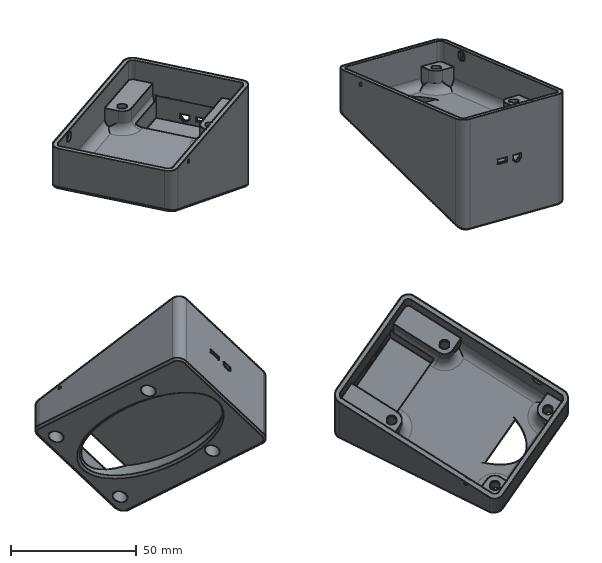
import cadquery as cq
import math

width = 53.75
length = 79.75
corner_radius = 4.0
wall = 2.0
slope_angle = 20.0
edge_chamfer = 0.95
front_height = 18.5
rise = math.tan(math.radians(slope_angle))
rear_height = front_height + length * rise
middle_height = (front_height + rear_height) / 2

floor_depth = 17.7
floor_fillet = 4.0
inner_width = width - 2 * wall
inner_length = length - 2 * wall
post_top_depth = 8.85
post_radius = 4.1
post_corner_radius = 4.0
screw_x = 19.1
front_screw_y = -33.5
rear_screw_y = 16.0
screw_diameter = 4.0
head_diameter = 6.0
screw_seat_thickness = 2.0

pit_width = 27.75
pit_front_y = 17.7
pit_depth = 24.7
wall_relief = 0.6
wall_relief_top_depth = 14.2
slot_width = 4.95
slot_height = 2.1
slot_x = 5.9
round_slot_width = 4.15
round_slot_x = -1.5
round_slot_diameter = 3.1
round_slot_drop = 0.7
connector_depth = 21.6

recess_half_width = 15.95
recess_half_length = 37.7
recess_depth = 6.4
recess_chamfer = 0.95

pin_y = -24.6
pin_depth = 2.9
pin_diameter = 1.4
pin_pocket_diameter = 4.2
pin_pocket_depth = 1.0


def make_body():
    side_profile = [
        (-length / 2, 0),
        (length / 2, 0),
        (length / 2, -rear_height),
        (-length / 2, -front_height),
    ]
    wedge = cq.Workplane("YZ").polyline(side_profile).close().extrude(width / 2, both=True)
    rounded = wedge.edges("|Z").fillet(corner_radius)
    return rounded.faces("<Z").edges().chamfer(edge_chamfer)


def make_post(side, screw_y, end_y):
    """Screw post with one rounded corner, running into the side wall and the given end wall."""
    toward_wall = math.copysign(1, end_y - screw_y)
    inner_x = screw_x - post_radius
    inner_y = screw_y - toward_wall * post_radius
    post_width = width / 2 - inner_x
    post_length = abs(end_y - inner_y)
    post = (
        cq.Workplane("XY", origin=(0, 0, -floor_depth))
        .center(side * (inner_x + post_width / 2), (inner_y + end_y) / 2)
        .rect(post_width, post_length)
        .extrude(floor_depth - post_top_depth)
    )
    rounded_corner = cq.selectors.NearestToPointSelector((side * inner_x, inner_y, -floor_depth / 2))
    return post.edges("|Z").edges(rounded_corner).fillet(post_corner_radius)


def flare_profile():
    """Concave fillet section; local X is measured from the screw axis, local Y is height."""
    mid_offset = floor_fillet * (1 - math.sqrt(0.5))
    foot_x = post_radius + floor_fillet
    return (
        cq.Workplane("XZ")
        .lineTo(foot_x, 0)
        .threePointArc((post_radius + mid_offset, mid_offset), (post_radius, floor_fillet))
        .lineTo(0, floor_fillet)
        .close()
    )


def make_post_flares():
    """Round flares at the feet of all posts and straight fillets along the two long rear posts."""
    flare = flare_profile().revolve(360, (0, 0, 0), (0, 1, 0))
    straight = flare_profile().extrude(-(length / 2 - rear_screw_y))
    left_rear = flare.union(straight)
    right_rear = left_rear.mirror("YZ")
    return (
        left_rear.translate((-screw_x, rear_screw_y, -floor_depth))
        .union(right_rear.translate((screw_x, rear_screw_y, -floor_depth)))
        .union(flare.translate((-screw_x, front_screw_y, -floor_depth)))
        .union(flare.translate((screw_x, front_screw_y, -floor_depth)))
    )


def make_cavity():
    block = cq.Workplane("XY").rect(inner_width, inner_length).extrude(-floor_depth)
    rounded_sides = block.edges("|Z").fillet(corner_radius - wall)
    cavity = block.faces("<Z").edges().fillet(floor_fillet).intersect(rounded_sides)
    for side in (-1, 1):
        cavity = cavity.cut(make_post(side, front_screw_y, -length / 2))
        cavity = cavity.cut(make_post(side, rear_screw_y, length / 2))
    return cavity.cut(make_post_flares())


def make_pit():
    pit_length = inner_length / 2 - pit_front_y
    pit = (
        cq.Workplane("XY")
        .center(0, pit_front_y + pit_length / 2)
        .rect(pit_width, pit_length)
        .extrude(-pit_depth)
    )
    relief = (
        cq.Workplane("XY", origin=(0, inner_length / 2, -wall_relief_top_depth))
        .rect(pit_width, 2 * wall_relief)
        .extrude(wall_relief_top_depth - pit_depth)
    )
    return pit.union(relief)


def opening_center(x, drop=0):
    return cq.Workplane("XZ", origin=(x, length / 2, -connector_depth - drop))


def make_connector_openings():
    slot = opening_center(slot_x).rect(slot_width, slot_height).extrude(2 * wall, both=True)
    round_slot = opening_center(round_slot_x).rect(round_slot_width, slot_height).extrude(2 * wall, both=True)
    hole = (
        opening_center(round_slot_x, round_slot_drop)
        .circle(round_slot_diameter / 2)
        .extrude(2 * wall, both=True)
    )
    return slot.union(round_slot).union(hole)


def make_recess():
    slope = math.radians(slope_angle)
    inward = (0, math.sin(slope), math.cos(slope))
    underside = cq.Plane(origin=(0, 0, -middle_height), xDir=(1, 0, 0), normal=inward)
    pocket = cq.Workplane(underside).ellipse(recess_half_width, recess_half_length).extrude(recess_depth)
    mouth = (
        cq.Workplane(underside)
        .ellipse(recess_half_width + recess_chamfer, recess_half_length + recess_chamfer)
        .workplane(offset=recess_chamfer)
        .ellipse(recess_half_width, recess_half_length)
        .loft()
    )
    return pocket.union(mouth)


def make_screw_holes():
    places = [(side * screw_x, y) for side in (-1, 1) for y in (front_screw_y, rear_screw_y)]
    layout = cq.Workplane("XY").pushPoints(places)
    shanks = layout.circle(screw_diameter / 2).extrude(-rear_height)
    seat_depth = post_top_depth + screw_seat_thickness
    heads = (
        cq.Workplane("XY", origin=(0, 0, -seat_depth))
        .pushPoints(places)
        .circle(head_diameter / 2)
        .extrude(seat_depth - rear_height)
    )
    return shanks.union(heads)


def make_pin_holes():
    layout = cq.Workplane("YZ").center(pin_y, -pin_depth)
    holes = layout.circle(pin_diameter / 2).extrude(width, both=True)
    pocket_reach = inner_width / 2 + pin_pocket_depth
    return holes.union(layout.circle(pin_pocket_diameter / 2).extrude(pocket_reach, both=True))


result = (
    make_body()
    .cut(make_cavity())
    .cut(make_pit())
    .cut(make_connector_openings())
    .cut(make_recess())
    .cut(make_screw_holes())
    .cut(make_pin_holes())
)